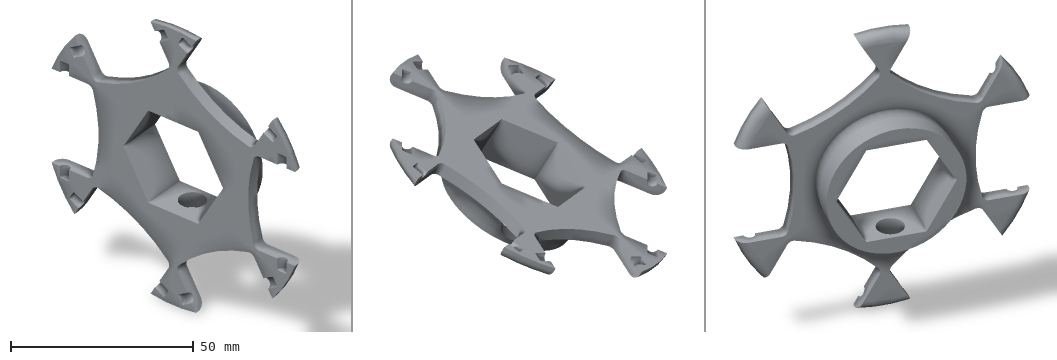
import cadquery as cq
import math

plate_radius = 45.0
plate_thickness = 4.0
rim_fillet = 3.0

arm_count = 6
arm_pitch = 360.0 / arm_count

cutout_half_width = 15.3
cutout_floor_radius = 50.0
cutout_floor_distance = 26.0
cutout_corner_fillet = 2.0
cutout_overrun = 1.0

hub_diameter = 40.3
hub_length = 10.0
hex_sides = 6
hex_across_flats = 30.0

hub_hole_diameter = 8.0
hub_hole_y = 8.5

pocket_diameter = 3.2
pocket_depth = 3.8
pocket_end_fillet = 0.5
pocket_distance = 37.8
pocket_axis_y = 0.0

total_depth = plate_thickness + hub_length


def front_workplane():
    """Sketch plane on the front face: local x = X, local y = Z, extruding negatively goes to +Y."""
    return cq.Workplane("XZ")


def make_plate():
    disc = front_workplane().circle(plate_radius).extrude(-plate_thickness)
    return disc.faces(">Y").edges().fillet(rim_fillet)


def make_hub():
    return front_workplane().circle(hub_diameter / 2).extrude(-total_depth)


def make_hex_bore():
    hex_across_corners = hex_across_flats / math.cos(math.pi / hex_sides)
    return front_workplane().polygon(hex_sides, hex_across_corners).extrude(-total_depth)


def make_cutout():
    """Straight-walled notch on the +X side whose floor bows towards the plate centre."""
    floor_center_x = cutout_floor_distance + cutout_floor_radius
    corner_x = floor_center_x - math.sqrt(cutout_floor_radius**2 - cutout_half_width**2)
    open_end_x = plate_radius + cutout_overrun
    notch = (
        front_workplane()
        .moveTo(open_end_x, -cutout_half_width)
        .lineTo(corner_x, -cutout_half_width)
        .threePointArc((cutout_floor_distance, 0), (corner_x, cutout_half_width))
        .lineTo(open_end_x, cutout_half_width)
        .close()
        .extrude(-plate_thickness)
    )
    return notch.edges("|Y and (not >X)").fillet(cutout_corner_fillet)


def make_wall_pocket(side):
    """Pocket running from the cutout into its upper (side=1) or lower (side=-1) wall."""
    length = cutout_half_width + pocket_depth
    pocket = (
        cq.Workplane("XY", origin=(pocket_distance, pocket_axis_y, 0))
        .circle(pocket_diameter / 2)
        .extrude(side * length)
    )
    end_face = ">Z" if side > 0 else "<Z"
    return pocket.faces(end_face).edges().fillet(pocket_end_fillet)


def make_hub_hole():
    """Cutter from the hub axis out through its -Z wall only."""
    return (
        cq.Workplane("XY", origin=(0, hub_hole_y, 0))
        .circle(hub_hole_diameter / 2)
        .extrude(-hub_diameter)
    )


result = make_plate().union(make_hub())
for index in range(arm_count):
    for cutter in (make_cutout(), make_wall_pocket(1), make_wall_pocket(-1)):
        result = result.cut(cutter.rotate((0, 0, 0), (0, 1, 0), index * arm_pitch))
result = result.cut(make_hex_bore()).cut(make_hub_hole())